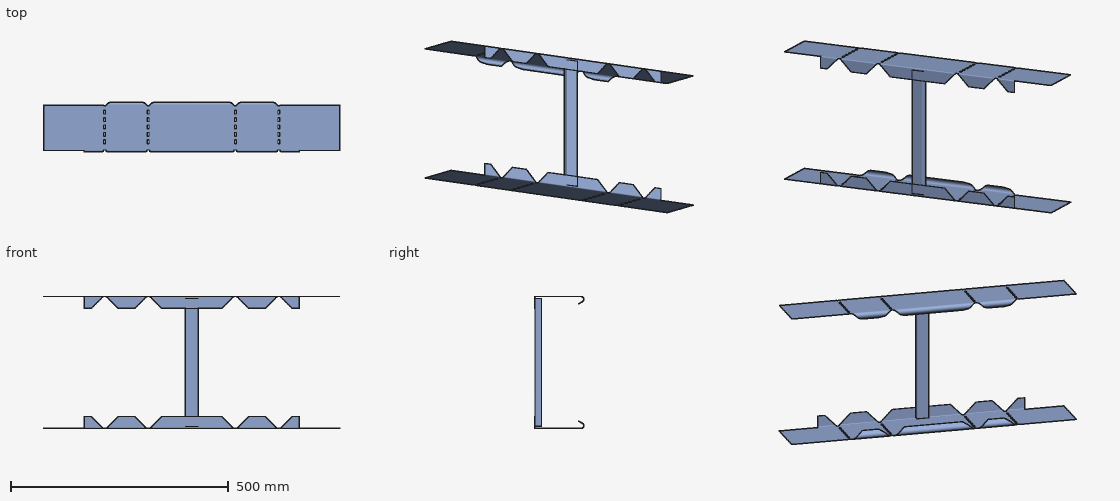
import cadquery as cq
import math

LENGTH = 680.0
UPPER_LENGTH = 679.0
HEIGHT = 304.0
PLATE_WIDTH = 105.0
THICKNESS = 1.0

FLANGE_HEIGHT = 28.0
FLANGE_BEND = 2.4
FLANGE_LENGTH = 494.5
HOOK_RADIUS = 7.0
HOOK_TURN = 150.0
LIP_LENGTH = 10.0

FOLD_PITCH = 100.0
FOLD_PLACES = [i * FOLD_PITCH for i in (-2, -1, 1, 2)]
HOOK_SPAN = 4 * FOLD_PITCH
NOTCH_START = 3.0
NOTCH_RELIEF = 1.5
SLOT_WIDTH = 3.5
SLOT_LENGTH = 8.0
SLOT_PITCH = 17.0
SLOT_COUNT = 5
MARGIN = 3.5
LOFT_STEPS = 6

POST_WIDTH = 30.0
POST_DEPTH = 15.5
POST_EDGE_RADIUS = 3.0
POST_GAP = 5.0

PLATE_BACK = FLANGE_BEND + PLATE_WIDTH
DEPTH = PLATE_BACK + HOOK_RADIUS
HOOK_INNER = HOOK_RADIUS - THICKNESS
TURN = math.radians(HOOK_TURN)


def hook_point(radius, angle, along=0.0):
    """(Y, Z) at an angle round the hook, then a distance along the tangent there."""
    y = PLATE_BACK + radius * math.sin(angle) + along * math.cos(angle)
    z = HOOK_RADIUS - radius * math.cos(angle) + along * math.sin(angle)
    return y, z


def make_plate(length):
    corner = (-LENGTH / 2, FLANGE_BEND, 0)
    return cq.Workplane("XY", origin=corner).box(length, PLATE_WIDTH, THICKNESS, centered=False)


def bend_middle(radius):
    """(Y, Z) halfway round the flange bend at the given radius."""
    offset = FLANGE_BEND - radius * math.sqrt(0.5)
    return offset, offset


def make_flange():
    return (
        cq.Workplane("YZ", origin=(-FLANGE_LENGTH / 2, 0, 0))
        .moveTo(FLANGE_BEND, 0)
        .threePointArc(bend_middle(FLANGE_BEND), (0, FLANGE_BEND))
        .lineTo(0, FLANGE_HEIGHT)
        .lineTo(THICKNESS, FLANGE_HEIGHT)
        .lineTo(THICKNESS, FLANGE_BEND)
        .threePointArc(bend_middle(FLANGE_BEND - THICKNESS), (FLANGE_BEND, THICKNESS))
        .close()
        .extrude(FLANGE_LENGTH)
    )


def make_hook():
    return (
        cq.Workplane("YZ", origin=(-HOOK_SPAN / 2, 0, 0))
        .moveTo(*hook_point(HOOK_RADIUS, 0))
        .threePointArc(hook_point(HOOK_RADIUS, TURN / 2), hook_point(HOOK_RADIUS, TURN))
        .lineTo(*hook_point(HOOK_RADIUS, TURN, LIP_LENGTH))
        .lineTo(*hook_point(HOOK_INNER, TURN, LIP_LENGTH))
        .lineTo(*hook_point(HOOK_INNER, TURN))
        .threePointArc(hook_point(HOOK_INNER, TURN / 2), hook_point(HOOK_INNER, 0))
        .close()
        .extrude(HOOK_SPAN)
    )


def notch_tip(bend_start, direction):
    """Square relief at X = 0, from the start of a bend into the plate."""
    return (
        cq.Workplane("XY")
        .center(0, bend_start + direction * NOTCH_RELIEF / 2)
        .rect(2 * NOTCH_START, NOTCH_RELIEF)
        .extrude(THICKNESS)
        .val()
    )


def flange_notch():
    """Notch at X = 0, widening at 45 degrees from the plate up the flange."""
    half_top = NOTCH_START + FLANGE_HEIGHT
    corners = [(-NOTCH_START, 0), (NOTCH_START, 0), (half_top, FLANGE_HEIGHT), (-half_top, FLANGE_HEIGHT)]
    wall = cq.Workplane("XZ", origin=(0, FLANGE_BEND, 0)).polyline(corners).close().extrude(FLANGE_BEND)
    return [notch_tip(FLANGE_BEND, 1), wall.val()]


def notch_section(angle, along=0.0):
    """Section across the hook wall, as wide as the notch is at this place."""
    half = NOTCH_START + HOOK_RADIUS * angle + along
    outside = hook_point(HOOK_RADIUS + MARGIN, angle, along)
    inside = hook_point(HOOK_INNER - MARGIN, angle, along)
    corners = [(-half, *outside), (half, *outside), (half, *inside), (-half, *inside)]
    return cq.Wire.makePolygon([cq.Vector(*c) for c in corners], close=True)


def hook_notch():
    """Notch at X = 0, widening at 45 degrees along the unrolled hook and lip."""
    bend_sections = [notch_section(TURN * i / LOFT_STEPS) for i in range(LOFT_STEPS + 1)]
    bend = cq.Solid.makeLoft(bend_sections)
    lip = cq.Solid.makeLoft([notch_section(TURN), notch_section(TURN, LIP_LENGTH + MARGIN)], True)
    return [notch_tip(PLATE_BACK, -1), bend, lip]


def cut_slots(channel):
    """Rows of slots through the plate along every fold line."""
    first = DEPTH / 2 - (SLOT_COUNT - 1) / 2 * SLOT_PITCH
    places = [(x, first + i * SLOT_PITCH) for x in FOLD_PLACES for i in range(SLOT_COUNT)]
    slots = cq.Workplane("XY").pushPoints(places).rect(SLOT_WIDTH, SLOT_LENGTH).extrude(THICKNESS)
    return channel.cut(slots)


def make_channel(length):
    channel = make_plate(length).union(make_flange()).union(make_hook())
    for x in FOLD_PLACES:
        for notch in flange_notch() + hook_notch():
            channel = channel.cut(cq.Workplane(notch.translate(cq.Vector(x, 0, 0))))
    return cut_slots(channel)


def rounded_bar(inset):
    """Full-length bar of the post's outline, offset inwards by the inset."""
    return (
        cq.Workplane("XY", origin=(0, THICKNESS + POST_DEPTH / 2, POST_GAP))
        .rect(POST_WIDTH - 2 * inset, POST_DEPTH - 2 * inset)
        .extrude(HEIGHT - 2 * POST_GAP)
        .edges("|Z")
        .fillet(POST_EDGE_RADIUS - inset)
    )


def make_post():
    return rounded_bar(0).cut(rounded_bar(THICKNESS))


lower_channel = make_channel(LENGTH)
upper_channel = make_channel(UPPER_LENGTH).mirror("XY").translate((0, 0, HEIGHT))
post = make_post()

result = cq.Compound.makeCompound([lower_channel.val(), upper_channel.val(), post.val()])